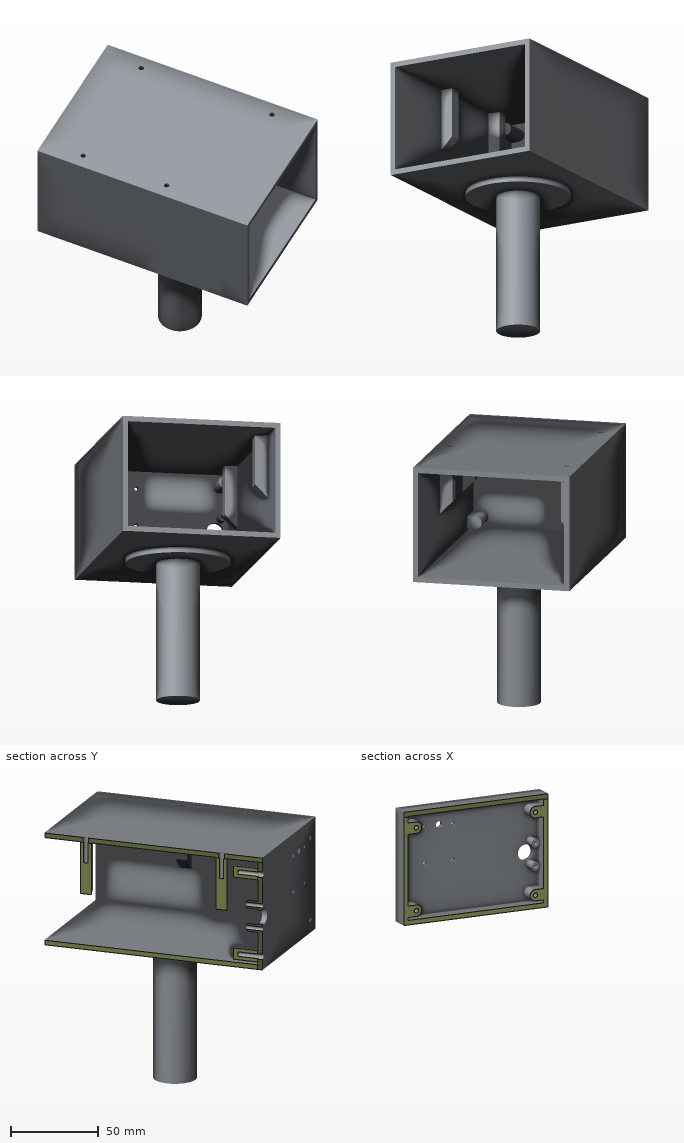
import cadquery as cq
import math

TOTAL_LENGTH = 133.0
WIDTH = 91.8
TOTAL_HEIGHT = 150.0
SHEET = 3.0
STEM_LENGTH = 80.0

BOX_LENGTH = TOTAL_LENGTH - SHEET
BOX_HEIGHT = TOTAL_HEIGHT - STEM_LENGTH - 2 * SHEET
BOX_CENTER_X = SHEET + BOX_LENGTH / 2
HALF_WIDTH = WIDTH / 2
INNER_WALL_Y = HALF_WIDTH - SHEET

FLANGE_DIAMETER = 60.0
STEM_DIAMETER = 25.0

CLEARANCE_DIAMETER = 3.2
PILOT_DIAMETER = 2.4
PILOT_DEPTH = 12.0
SCREW_SPACING = 75.8
SCREW_Y = SCREW_SPACING / 2

LID_SCREW_NEAR_X = 25.2
LID_SCREW_FAR_X = {1: 108.0, -1: 78.0}
LID_BOSS_WIDTH = 7.0
LID_BOSS_REACH = 7.2
LID_BOSS_DEPTH = 28.7

PLATE_SCREW_HEIGHTS = (8.0, 57.0)
PLATE_BOSS_DIAMETER = 7.0
PLATE_BOSS_LENGTH = 15.0

SOCKET_DIAMETER = 9.5
SOCKET_Y = HALF_WIDTH - 10.5
SOCKET_Z = 31.5
STANDOFF_DIAMETER = 5.0
STANDOFF_LENGTH = 7.0
STANDOFF_Y = HALF_WIDTH - 7.5
STANDOFF_OFFSET_Z = 6.9
SMALL_HOLE_DIAMETER = 2.3

PATTERN_CENTER_Y = -19.5
PATTERN_WIDTH = 18.0
PATTERN_TOP_Z = 54.2
PATTERN_HEIGHT = 21.6
SENSOR_HOLE_DIAMETER = 4.0
SENSOR_HOLE_Z = 54.6

LID_SCREWS = [
    (x, side * SCREW_Y) for side in (1, -1) for x in (LID_SCREW_NEAR_X, LID_SCREW_FAR_X[side])
]
PLATE_SCREWS = [(side * SCREW_Y, z) for side in (1, -1) for z in PLATE_SCREW_HEIGHTS]
STANDOFFS = [(STANDOFF_Y, SOCKET_Z + side * STANDOFF_OFFSET_Z) for side in (1, -1)]
PATTERN_HOLES = [
    (PATTERN_CENTER_Y + side * PATTERN_WIDTH / 2, z)
    for side in (1, -1)
    for z in (PATTERN_TOP_Z, PATTERN_TOP_Z - PATTERN_HEIGHT)
]


def block(x_range, y_range, z_range):
    """A box between the given limits on each axis."""
    (x0, x1), (y0, y1), (z0, z1) = x_range, y_range, z_range
    return cq.Workplane("XY").box(x1 - x0, y1 - y0, z1 - z0, centered=False).translate((x0, y0, z0))


def cylinders_along_x(points, diameter, start_x, length):
    """Cylinders pointing to +X, centred on (y, z) points."""
    plane = cq.Workplane("YZ", origin=(start_x, 0, 0))
    return plane.pushPoints(points).circle(diameter / 2).extrude(length)


def cylinders_down(points, diameter, top_z, length):
    """Cylinders pointing to -Z, centred on (x, y) points."""
    plane = cq.Workplane("XY", origin=(0, 0, top_z))
    return plane.pushPoints(points).circle(diameter / 2).extrude(-length)


def lid_boss(x, side):
    """Square boss on a side wall, with its underside sloping down to the wall at 45 degrees."""
    nose_y = INNER_WALL_Y - LID_BOSS_REACH
    nose_z = BOX_HEIGHT - LID_BOSS_DEPTH
    profile = [
        (side * nose_y, BOX_HEIGHT),
        (side * INNER_WALL_Y, BOX_HEIGHT),
        (side * INNER_WALL_Y, nose_z - LID_BOSS_REACH),
        (side * nose_y, nose_z),
    ]
    plane = cq.Workplane("YZ", origin=(x - LID_BOSS_WIDTH / 2, 0, 0))
    return plane.polyline(profile).close().extrude(LID_BOSS_WIDTH)


def plate_boss(y, z):
    """Round-nosed boss along X on a side wall, flush with the open end of the box."""
    radius = PLATE_BOSS_DIAMETER / 2
    end_x = SHEET + PLATE_BOSS_LENGTH
    nose = cylinders_along_x([(y, z)], PLATE_BOSS_DIAMETER, SHEET, PLATE_BOSS_LENGTH)
    root = block((SHEET, end_x), sorted((y, math.copysign(INNER_WALL_Y, y))), (z - radius, z + radius))
    return nose.union(root)


def make_box():
    """Channel of a floor and two side walls, with the screw bosses."""
    x_range = (SHEET, TOTAL_LENGTH)
    outer = block(x_range, (-HALF_WIDTH, HALF_WIDTH), (0, BOX_HEIGHT))
    cavity = block(x_range, (-INNER_WALL_Y, INNER_WALL_Y), (SHEET, BOX_HEIGHT))
    body = outer.cut(cavity)
    for x, y in LID_SCREWS:
        body = body.union(lid_boss(x, math.copysign(1, y)))
    for y, z in PLATE_SCREWS:
        body = body.union(plate_boss(y, z))
    body = body.cut(cylinders_down(LID_SCREWS, PILOT_DIAMETER, BOX_HEIGHT, PILOT_DEPTH))
    return body.cut(cylinders_along_x(PLATE_SCREWS, PILOT_DIAMETER, SHEET, PILOT_DEPTH))


def make_lid():
    """Flat cover over the box and the end plate."""
    top_z = BOX_HEIGHT + SHEET
    sheet = block((0, TOTAL_LENGTH), (-HALF_WIDTH, HALF_WIDTH), (BOX_HEIGHT, top_z))
    return sheet.cut(cylinders_down(LID_SCREWS, CLEARANCE_DIAMETER, top_z, SHEET))


def make_end_plate():
    """Plate that closes the -X end of the box."""
    plate = block((0, SHEET), (-HALF_WIDTH, HALF_WIDTH), (0, BOX_HEIGHT))
    plate = plate.union(cylinders_along_x(STANDOFFS, STANDOFF_DIAMETER, SHEET, STANDOFF_LENGTH))
    plate = plate.cut(cylinders_along_x(STANDOFFS, SMALL_HOLE_DIAMETER, 0, SHEET + STANDOFF_LENGTH))
    plate = plate.cut(cylinders_along_x(PATTERN_HOLES, SMALL_HOLE_DIAMETER, 0, SHEET))
    plate = plate.cut(cylinders_along_x(PLATE_SCREWS, CLEARANCE_DIAMETER, 0, SHEET))
    plate = plate.cut(cylinders_along_x([(SOCKET_Y, SOCKET_Z)], SOCKET_DIAMETER, 0, SHEET))
    sensor_hole = cylinders_along_x([(PATTERN_CENTER_Y, SENSOR_HOLE_Z)], SENSOR_HOLE_DIAMETER, 0, SHEET)
    return plate.cut(sensor_hole)


def make_stem():
    """Round stem with a flange against the box underside."""
    axis = [(BOX_CENTER_X, 0)]
    flange = cylinders_down(axis, FLANGE_DIAMETER, 0, SHEET)
    return flange.union(cylinders_down(axis, STEM_DIAMETER, 0, SHEET + STEM_LENGTH))


box = make_box()
lid = make_lid()
end_plate = make_end_plate()
stem = make_stem()

result = cq.Compound.makeCompound([box.val(), lid.val(), end_plate.val(), stem.val()])